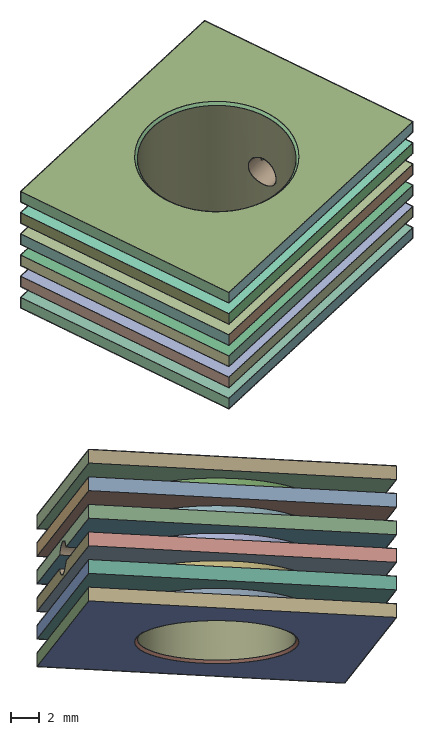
import cadquery as cq

width_x = 18.0
length_y = 22.0
height_z = 11.0

fin_count = 6
fin_thickness = height_z / (2 * fin_count - 1)
fin_pitch = 2 * fin_thickness

barrel_diameter = 14.0
bore_diameter = 11.1
bore_chamfer = 0.2

side_hole_diameter = 2.4


def make_fin(index):
    """Rectangular fin, counted upward from the bottom face."""
    return (
        cq.Workplane("XY")
        .workplane(offset=index * fin_pitch)
        .rect(width_x, length_y)
        .extrude(fin_thickness)
    )


def make_bore():
    """Through bore cutter that flares at both ends to chamfer the rims."""
    bore_radius = bore_diameter / 2
    rim_radius = bore_radius + bore_chamfer
    return (
        cq.Workplane("XZ")
        .moveTo(0, 0)
        .lineTo(rim_radius, 0)
        .lineTo(bore_radius, bore_chamfer)
        .lineTo(bore_radius, height_z - bore_chamfer)
        .lineTo(rim_radius, height_z)
        .lineTo(0, height_z)
        .close()
        .revolve(360, (0, 0), (0, 1))
    )


def make_side_hole():
    """Cylinder cutter from the bore axis to the +Y face."""
    return (
        cq.Workplane("XZ")
        .center(0, height_z / 2)
        .circle(side_hole_diameter / 2)
        .extrude(-length_y / 2)
    )


body = cq.Workplane("XY").circle(barrel_diameter / 2).extrude(height_z)
for fin_index in range(fin_count):
    body = body.union(make_fin(fin_index))

result = body.cut(make_bore()).cut(make_side_hole())